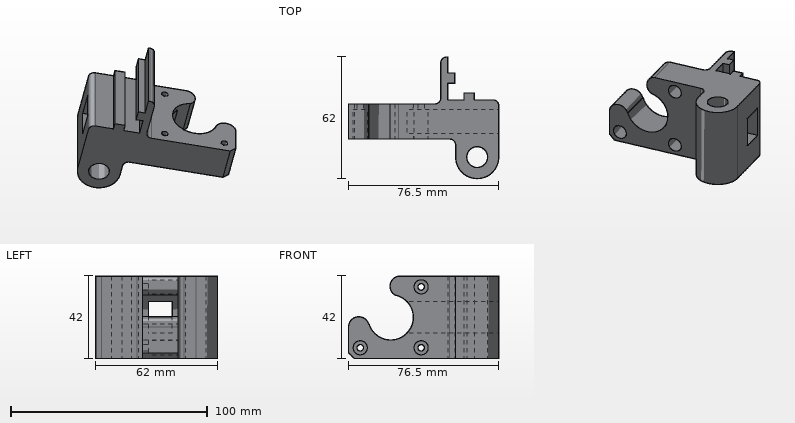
import cadquery as cq

LENGTH = 76.5
WIDTH = 62.0
HEIGHT = 42.0
ROUND = 3.0

BOSS_RADIUS = 11.0
BORE_DIAMETER = 10.5
BOSS_X = LENGTH - BOSS_RADIUS
BOSS_Y = BOSS_RADIUS
BOSS_LEFT = LENGTH - 2 * BOSS_RADIUS

ARM_FRONT = 20.1
ARM_BACK = 38.1
CORNER_BACK = 40.2
FLANGE_LEFT = 46.9
FLANGE_RIGHT = 50.6

KEY_WIDTH = 5.35
KEY_HEIGHT = 3.5
FLANGE_KEY_Y = 51.2
CORNER_KEY_X = 61.4

MOTOR_X = 21.5
MOTOR_Z = HEIGHT / 2
OPENING_RADIUS = 11.5
SCREW_PITCH = 31.0
SCREW_DIAMETER = 3.2
HEAD_DIAMETER = 7.2
SEAT_THICKNESS = 3.0

LIP_RADIUS = 5.3
LOWER_LIP = (LIP_RADIUS, 16.1)
UPPER_LIP = (26.4, 36.8)

WINDOW_WALL = 3.0
WINDOW_HEIGHT = 15.9


def upright_box(x_min, x_max, y_min, y_max, z_min=0.0, z_max=HEIGHT):
    """Axis-aligned box given by its limits."""
    size = (x_max - x_min, y_max - y_min, z_max - z_min)
    return cq.Workplane("XY").box(*size, centered=False).translate((x_min, y_min, z_min))


def arm_cylinder(x, z, radius, y_front=ARM_FRONT, y_back=ARM_BACK):
    """Cylinder along Y between two depths."""
    plane = cq.Workplane("XZ", origin=(x, y_front, z))
    return plane.circle(radius).extrude(y_front - y_back)


def make_bracket():
    """Full-height arm, boss and flange, with their vertical rounds."""
    bracket = (
        cq.Workplane("XY")
        .moveTo(0, ARM_FRONT)
        .lineTo(BOSS_LEFT, ARM_FRONT)
        .lineTo(BOSS_LEFT, BOSS_Y)
        .threePointArc((BOSS_X, 0), (LENGTH, BOSS_Y))
        .lineTo(LENGTH, CORNER_BACK)
        .lineTo(FLANGE_RIGHT, CORNER_BACK)
        .lineTo(FLANGE_RIGHT, WIDTH)
        .lineTo(FLANGE_LEFT, WIDTH)
        .lineTo(FLANGE_LEFT, ARM_BACK)
        .lineTo(0, ARM_BACK)
        .close()
        .extrude(HEIGHT)
    )
    rounded_corners = [
        (BOSS_LEFT, ARM_FRONT),
        (LENGTH, CORNER_BACK),
        (FLANGE_LEFT, WIDTH),
        (FLANGE_LEFT, ARM_BACK),
    ]
    for x, y in rounded_corners:
        corner_edge = cq.selectors.NearestToPointSelector((x, y, HEIGHT / 2))
        bracket = bracket.edges("|Z").edges(corner_edge).fillet(ROUND)
    return bracket.faces("<X").edges("<Z").chamfer(ROUND)


def add_keys(body):
    """One key on the flange and one on the back of the mounting corner."""
    half = KEY_WIDTH / 2
    flange_key = upright_box(
        FLANGE_RIGHT, FLANGE_RIGHT + KEY_HEIGHT, FLANGE_KEY_Y - half, FLANGE_KEY_Y + half
    )
    corner_key = upright_box(
        CORNER_KEY_X - half, CORNER_KEY_X + half, CORNER_BACK, CORNER_BACK + KEY_HEIGHT
    )
    return body.union(flange_key).union(corner_key)


def cut_motor_opening(body):
    """Open the upper free corner, round its lips and cut the motor circle."""
    mouth_outline = [
        (0, HEIGHT),
        (0, LOWER_LIP[1]),
        LOWER_LIP,
        (MOTOR_X, MOTOR_Z),
        UPPER_LIP,
        (UPPER_LIP[0], HEIGHT),
    ]
    mouth = (
        cq.Workplane("XZ", origin=(0, ARM_FRONT, 0))
        .polyline(mouth_outline)
        .close()
        .extrude(ARM_FRONT - ARM_BACK)
    )
    envelope = upright_box(0, LENGTH, ARM_FRONT, ARM_BACK)
    body = body.cut(mouth)
    for x, z in (LOWER_LIP, UPPER_LIP):
        body = body.union(arm_cylinder(x, z, LIP_RADIUS).intersect(envelope))
    return body.cut(arm_cylinder(MOTOR_X, MOTOR_Z, OPENING_RADIUS))


def cut_window(body):
    """Pass the window from the motor opening out through the boss end."""
    window = upright_box(
        MOTOR_X,
        LENGTH,
        ARM_FRONT + WINDOW_WALL,
        ARM_BACK - WINDOW_WALL,
        MOTOR_Z - WINDOW_HEIGHT / 2,
        MOTOR_Z + WINDOW_HEIGHT / 2,
    )
    return body.cut(window)


def cut_screw_holes(body):
    """Three counterbored holes; the fourth corner of the square lies in the mouth."""
    half = SCREW_PITCH / 2
    for side, level in ((-1, -1), (1, -1), (1, 1)):
        x = MOTOR_X + side * half
        z = MOTOR_Z + level * half
        body = body.cut(arm_cylinder(x, z, SCREW_DIAMETER / 2))
        body = body.cut(arm_cylinder(x, z, HEAD_DIAMETER / 2, y_back=ARM_BACK - SEAT_THICKNESS))
    return body


def cut_bore(body):
    """Vertical bore through the boss."""
    bore = cq.Workplane("XY").center(BOSS_X, BOSS_Y).circle(BORE_DIAMETER / 2).extrude(HEIGHT)
    return body.cut(bore)


bracket = add_keys(make_bracket())
bracket = cut_motor_opening(bracket)
bracket = cut_window(bracket)
bracket = cut_screw_holes(bracket)
result = cut_bore(bracket)